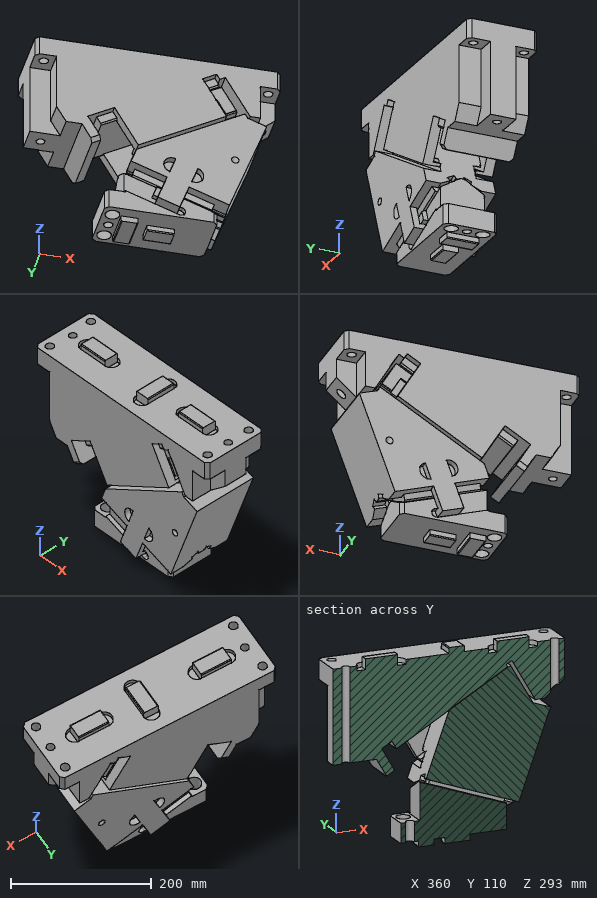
import cadquery as cq
import math


LENGTH = 360.0
HALF_WIDTH = 55.0
BASE_BOTTOM = -275.0
CORNER_CHAMFER = 5.8

SLIDE_ANGLE = 20.0
SLIDER_CORNER = (139.5, -197.5)
SLIDER_LEFT_HEIGHT = 32.5

RAIL_ANGLE = 30.0

PLATE_THICKNESS = 30.5
HOUSING_BOTTOM = -144.5
RIB_WIDTH = 40.5
BODY_LEFT = 30.5
BODY_RIGHT = 329.5
BODY_SLANT_TOP = -120.2
RIGHT_FOOT_BOTTOM = -86.8
RIGHT_RIB_BOTTOM = -60.5
NOTCH_WIDTH = 45.0
NOTCH_TOP = 70.0
HOOK_WIDTH = 15.0
HOOK_END = 29.5
SIDE_OPENING_START = 149.5
RAIL_SLOT_END = 182.0
SHELF = 5.0
OPENING_TOP = 60.5
STRIP_START = -27.5
STRIP_END = 172.8
STRIP_HALF_WIDTH = 45.0
STRIP_CHAMFER = 2.0

SCREW_HOLE = 13.5
DOWEL_HOLE = 12.2
HOLE_INSET = 15.5
LEFT_DOWEL_X = 20.5
SCREW_Y = 40.0
KEY_WIDTH = 25.0
KEY_LENGTH = 50.0
KEY_HEIGHT = 9.0
KEY_CHAMFER = 1.5
KEYWAY_LENGTH = 75.2
KEYWAY_DEPTH = 7.2
LONG_KEY_X = (75.5, 279.7)
CROSS_KEY_X = 192.2

SLIDER_LENGTH = 154.0
SLIDER_RIGHT_HEIGHT = 159.5
LEDGE = -5.8
NECK_HALF_WIDTH = 27.7
HEAD_HALF_WIDTH = 39.5
NECK_TOP = 10.0
HEAD_TOP = 55.8
HEAD_STEP_HEIGHT = 2.5
HEAD_STEP_DEPTH = 1.0
RAIL_END = 177.5
HEAD_RECESS_END = 160.0
HEAD_RECESS_TOP = 39.5
HEAD_RECESS_DEPTH = 2.0
GROOVE_HALF_WIDTH = 31.5
GROOVE_FLAT = 6.5
PAD_START = 9.7
PAD_END = 134.0
PAD_HALF_WIDTH = 41.8
PAD_FOOT_HALF_WIDTH = 37.5
PAD_FOOT = -7.5
KEY_SLOT_Y = 16.0
KEY_SLOT_WIDTH = 12.5
KEY_SLOT_DEPTH = 6.0
LEG_START = 56.5
LEG_WIDTH = 34.5
LEG_END = -40.5
LEG_INNER = 44.5
LEG_HOOK_TOP = -30.2
BORE_RADIUS = 13.0
BORE_T = 24.5
SIDE_HOLE = (134.0, 80.0)
SIDE_HOLE_RADIUS = 5.5
SIDE_HOLE_DEPTH = 5.5

DRIVER_LEFT = 105.0
DRIVER_STEP = 134.5
DRIVER_RIGHT = 270.0
DRIVER_HALF_WIDTH = 42.0
BODY_HALF_WIDTH = 34.5
FOOT_HEIGHT = 31.0
EAVE = -9.0
RIDGE_HALF_WIDTH = 3.5
ROOF_ANGLE = 30.0
FLANGE_START = 49.0
FLANGE_BOTTOM = -29.5
UNDERCUT_BOTTOM = -43.2
UNDERCUT_END = 101.5
DRIVER_HOLE_X = 120.0
DRIVER_SCREW_HOLE = 20.5
DRIVER_DOWEL_HOLE = 13.0
DRIVER_SCREW_Y = 25.0
DRIVER_CROSS_KEY_X = 145.0
DRIVER_LONG_KEY_X = 193.5
DRIVER_LONG_KEY_LENGTH = 40.0

BEYOND = 216.0
ROOF_SLOPE = math.tan(math.radians(ROOF_ANGLE))
LEG_STOP = LEG_START + LEG_WIDTH


def from_slide(s, t):
    """X, Z of a point given in the slide frame."""
    angle = math.radians(SLIDE_ANGLE)
    x = SLIDER_CORNER[0] + s * math.cos(angle) + t * math.sin(angle)
    z = SLIDER_CORNER[1] - s * math.sin(angle) + t * math.cos(angle)
    return x, z


RAIL_CORNER = from_slide(0, SLIDER_LEFT_HEIGHT)


def from_rail(u, w):
    """X, Z of a point given in the rail frame."""
    angle = math.radians(RAIL_ANGLE)
    x = RAIL_CORNER[0] + u * math.cos(angle) - w * math.sin(angle)
    z = RAIL_CORNER[1] + u * math.sin(angle) + w * math.cos(angle)
    return x, z


def rail_w_at_z(u, z):
    """w at which the line of constant u reaches height z."""
    angle = math.radians(RAIL_ANGLE)
    return (z - RAIL_CORNER[1] - u * math.sin(angle)) / math.cos(angle)


def prism(points, y_from, y_to):
    """Solid with an outline of X, Z points, between two Y values."""
    plane = cq.Workplane("XZ", origin=(0, y_from, 0))
    return plane.polyline(points).close().extrude(y_from - y_to)


def centred_prism(points, half_width):
    return prism(points, -half_width, half_width)


def rectangle(frame, a_from, a_to, b_from, b_to):
    """X, Z corners of a rectangle that lies square in a frame."""
    return [frame(a_from, b_from), frame(a_to, b_from), frame(a_to, b_to), frame(a_from, b_to)]


def along_slide(points, s_from, s_to):
    """Solid with a cross-section of Y, t points, between two s values."""
    x, z = from_slide(s_from, 0)
    angle = math.radians(SLIDE_ANGLE)
    plane = cq.Plane((x, 0, z), (0, 1, 0), (math.cos(angle), 0, -math.sin(angle)))
    return cq.Workplane(plane).polyline(points).close().extrude(s_to - s_from)


def along_rail(points, u_from, u_to):
    """Solid with a cross-section of Y, w points, between two u values."""
    x, z = from_rail(u_from, 0)
    angle = math.radians(RAIL_ANGLE)
    plane = cq.Plane((x, 0, z), (0, 1, 0), (math.cos(angle), 0, math.sin(angle)))
    return cq.Workplane(plane).polyline(points).close().extrude(u_to - u_from)


def cylinder_in_y(centre, radius, y_outer, y_inner):
    """Round solid along Y about an X, Z centre."""
    plane = cq.Workplane("XZ", origin=(centre[0], y_outer, centre[1]))
    return plane.circle(radius).extrude(y_outer - y_inner)


def mirrored(points):
    """Closed cross-section from the points of its +Y half, listed in order."""
    return points + [(-y, height) for y, height in reversed(points)]


def both_sides(solid):
    return solid.union(solid.mirror("XZ"))


def block(x_from, x_to, half_width, z_from, z_to):
    return centred_prism([(x_from, z_from), (x_to, z_from), (x_to, z_to), (x_from, z_to)], half_width)


def roof_height(y):
    """t of the driver's roof slope at a distance y from the plane of symmetry."""
    return EAVE + (BODY_HALF_WIDTH - y) * ROOF_SLOPE


def groove_height(y):
    """t of the slider's clearance groove at a distance y from the plane of symmetry."""
    return (GROOVE_HALF_WIDTH - y) * ROOF_SLOPE


def key(x, length, foot_z, tip_z, crosswise):
    """Key standing on foot_z, with its long edges broken at the tip."""
    tip_edges = ">Z" if tip_z > foot_z else "<Z"
    bar = cq.Workplane("XY").box(length, KEY_WIDTH, abs(tip_z - foot_z))
    bar = bar.faces(tip_edges).edges("|X").chamfer(KEY_CHAMFER)
    if crosswise:
        bar = bar.rotate((0, 0, 0), (0, 0, 1), 90)
    return bar.translate((x, 0, (foot_z + tip_z) / 2))


def keyway(x, crosswise):
    turn = 90 if crosswise else 0
    top = cq.Workplane("XY").center(x, 0)
    return top.slot2D(KEYWAY_LENGTH, KEY_WIDTH, turn).extrude(-KEYWAY_DEPTH)


def vertical_holes(points, diameter):
    return cq.Workplane("XY").pushPoints(points).circle(diameter / 2).extrude(2 * BASE_BOTTOM)


def housing_blank():
    """Mounting plate, full-width body with its hook, and the narrow ribs at both ends."""
    plate = block(0, LENGTH, HALF_WIDTH, -PLATE_THICKNESS, 0)
    plate = plate.edges("|Z").chamfer(CORNER_CHAMFER)
    hook_outer = -NOTCH_WIDTH - HOOK_WIDTH
    slant_height = BODY_SLANT_TOP - HOUSING_BOTTOM
    slant_x = BODY_LEFT + slant_height * math.tan(math.radians(RAIL_ANGLE))
    body = centred_prism([
        (BODY_LEFT, -PLATE_THICKNESS),
        (BODY_LEFT, BODY_SLANT_TOP),
        (slant_x, HOUSING_BOTTOM),
        from_rail(hook_outer, rail_w_at_z(hook_outer, HOUSING_BOTTOM)),
        from_rail(hook_outer, HOOK_END),
        from_rail(-NOTCH_WIDTH, HOOK_END),
        from_rail(-NOTCH_WIDTH, NOTCH_TOP),
        from_rail(0, NOTCH_TOP),
        from_rail(0, 0),
        from_rail(RAIL_SLOT_END, 0),
        from_rail(RAIL_SLOT_END, rail_w_at_z(RAIL_SLOT_END, RIGHT_FOOT_BOTTOM)),
        (BODY_RIGHT, RIGHT_FOOT_BOTTOM),
        (BODY_RIGHT, -PLATE_THICKNESS),
    ], HALF_WIDTH)
    left_rib = block(0, slant_x, RIB_WIDTH / 2, HOUSING_BOTTOM, -PLATE_THICKNESS)
    right_rib = centred_prism([
        (BODY_RIGHT, -PLATE_THICKNESS),
        (LENGTH, -PLATE_THICKNESS),
        (LENGTH, RIGHT_RIB_BOTTOM),
        (BODY_RIGHT, RIGHT_FOOT_BOTTOM),
    ], RIB_WIDTH / 2)
    hook_corner = along_rail([
        (HALF_WIDTH, HOOK_END),
        (HALF_WIDTH, HOOK_END + CORNER_CHAMFER),
        (HALF_WIDTH - CORNER_CHAMFER, HOOK_END),
    ], hook_outer, -NOTCH_WIDTH)
    return plate.union(body).union(left_rib).union(right_rib).cut(both_sides(hook_corner))


def rail_slot():
    """T-slot for the slider's rail, with the openings at the slider's upper end."""
    slot = along_rail(mirrored([
        (NECK_HALF_WIDTH, 0),
        (NECK_HALF_WIDTH, SHELF),
        (HEAD_HALF_WIDTH, SHELF),
        (HEAD_HALF_WIDTH, HEAD_TOP),
    ]), 0, RAIL_SLOT_END)
    side = rectangle(from_rail, SIDE_OPENING_START, STRIP_END, 0, NOTCH_TOP)
    side_opening = prism(side, HEAD_HALF_WIDTH, HALF_WIDTH)
    end = rectangle(from_rail, SIDE_OPENING_START, RAIL_SLOT_END, 0, OPENING_TOP)
    return slot.union(both_sides(side_opening)).union(centred_prism(end, HALF_WIDTH))


def wear_strip():
    return along_rail(mirrored([
        (STRIP_HALF_WIDTH - STRIP_CHAMFER, HEAD_TOP),
        (STRIP_HALF_WIDTH, HEAD_TOP + STRIP_CHAMFER),
        (STRIP_HALF_WIDTH, NOTCH_TOP),
    ]), STRIP_START, STRIP_END)


def make_housing():
    housing = housing_blank().cut(rail_slot()).union(wear_strip())
    right_x = LENGTH - HOLE_INSET
    screws = [(x, y) for x in (HOLE_INSET, right_x) for y in (-SCREW_Y, SCREW_Y)]
    housing = housing.cut(vertical_holes(screws, SCREW_HOLE))
    housing = housing.cut(vertical_holes([(LEFT_DOWEL_X, 0), (right_x, 0)], DOWEL_HOLE))
    for x in LONG_KEY_X:
        housing = housing.cut(keyway(x, False))
        housing = housing.union(key(x, KEY_LENGTH, -KEYWAY_DEPTH, KEY_HEIGHT, False))
    housing = housing.cut(keyway(CROSS_KEY_X, True))
    return housing.union(key(CROSS_KEY_X, KEY_LENGTH, -KEYWAY_DEPTH, KEY_HEIGHT, True))


def slider_body():
    """Full-width body below the ledges."""
    between = math.radians(90 - RAIL_ANGLE - SLIDE_ANGLE)
    ledge_left_t = SLIDER_LEFT_HEIGHT + LEDGE / math.sin(between)
    rise = SLIDER_RIGHT_HEIGHT - SLIDER_LEFT_HEIGHT
    rail_foot_w = (rise - RAIL_END * math.cos(between)) / math.sin(between)
    return centred_prism([
        from_slide(0, 0),
        from_slide(0, ledge_left_t),
        from_rail(RAIL_END, LEDGE),
        from_rail(RAIL_END, rail_foot_w),
        from_slide(SLIDER_LENGTH, SLIDER_RIGHT_HEIGHT),
        from_slide(SLIDER_LENGTH, 0),
    ], HALF_WIDTH)


def rail():
    """T-shaped rail whose lower end is flush with the slider's left face."""
    bar = along_rail(mirrored([
        (NECK_HALF_WIDTH, LEDGE),
        (NECK_HALF_WIDTH, NECK_TOP),
        (HEAD_HALF_WIDTH - HEAD_STEP_DEPTH, NECK_TOP),
        (HEAD_HALF_WIDTH - HEAD_STEP_DEPTH, NECK_TOP + HEAD_STEP_HEIGHT),
        (HEAD_HALF_WIDTH, NECK_TOP + HEAD_STEP_HEIGHT),
        (HEAD_HALF_WIDTH, HEAD_TOP),
    ]), -BEYOND, RAIL_END)
    left = rectangle(from_slide, -BEYOND, 0, -BEYOND, BEYOND)
    recess = rectangle(from_rail, SIDE_OPENING_START, HEAD_RECESS_END, NECK_TOP, HEAD_RECESS_TOP)
    recesses = both_sides(prism(recess, HEAD_HALF_WIDTH - HEAD_RECESS_DEPTH, HEAD_HALF_WIDTH))
    return bar.cut(centred_prism(left, HALF_WIDTH)).cut(recesses)


def clearance_groove():
    """Roof-shaped groove clear of the driver."""
    return along_slide(mirrored([
        (GROOVE_HALF_WIDTH, 0),
        (GROOVE_FLAT, groove_height(GROOVE_FLAT)),
    ]), 0, SLIDER_LENGTH)


def key_slots(s_from, s_to):
    """Slots in the groove's slopes that hold the pads."""
    angle = math.radians(ROOF_ANGLE)
    across_y, across_t = -KEY_SLOT_WIDTH * math.cos(angle), KEY_SLOT_WIDTH * math.sin(angle)
    deep_y, deep_t = KEY_SLOT_DEPTH * math.sin(angle), KEY_SLOT_DEPTH * math.cos(angle)
    y, t = KEY_SLOT_Y, groove_height(KEY_SLOT_Y)
    return both_sides(along_slide([
        (y, t),
        (y + deep_y, t + deep_t),
        (y + deep_y + across_y, t + deep_t + across_t),
        (y + across_y, t + across_t),
    ], s_from, s_to))


def pads():
    """Sloping pads that bear on the driver's roof."""
    pad = along_slide([
        (GROOVE_FLAT, roof_height(GROOVE_FLAT)),
        (BODY_HALF_WIDTH, EAVE),
        (PAD_FOOT_HALF_WIDTH, PAD_FOOT),
        (PAD_HALF_WIDTH, 0),
        (GROOVE_HALF_WIDTH, 0),
        (GROOVE_FLAT, groove_height(GROOVE_FLAT)),
    ], PAD_START, PAD_END)
    return both_sides(pad)


def legs():
    """Side straps whose hooked ends reach under the driver's flanges."""
    strap = prism(rectangle(from_slide, LEG_START, LEG_STOP, LEG_END, 0), LEG_INNER, HALF_WIDTH)
    hook = rectangle(from_slide, LEG_START, LEG_STOP, LEG_END, LEG_HOOK_TOP)
    return both_sides(strap.union(prism(hook, BODY_HALF_WIDTH, HALF_WIDTH)))


def half_bores():
    """Half-round pockets beside the straps."""
    strap = prism(rectangle(from_slide, LEG_START, LEG_STOP, 0, 2 * BORE_T), LEG_INNER, HALF_WIDTH)
    left = cylinder_in_y(from_slide(LEG_START, BORE_T), BORE_RADIUS, HALF_WIDTH, LEG_INNER)
    right = cylinder_in_y(from_slide(LEG_STOP, BORE_T), BORE_RADIUS, HALF_WIDTH, LEG_INNER)
    return both_sides(left.union(right).cut(strap))


def side_holes():
    """Conical centre marks in both sides."""
    x, z = from_slide(*SIDE_HOLE)
    cone = cq.Solid.makeCone(SIDE_HOLE_RADIUS, 0, SIDE_HOLE_DEPTH, (x, HALF_WIDTH, z), (0, -1, 0))
    return both_sides(cq.Workplane(cone))


def make_slider():
    slider = slider_body().union(rail())
    slider = slider.cut(clearance_groove()).cut(half_bores()).cut(side_holes())
    slider = slider.cut(key_slots(0, PAD_START)).cut(key_slots(PAD_END, SLIDER_LENGTH))
    return slider.union(pads()).union(legs())


def driver_blank():
    """Foot and roofed body."""
    roofed = along_slide(mirrored([
        (DRIVER_HALF_WIDTH, -BEYOND),
        (DRIVER_HALF_WIDTH, roof_height(DRIVER_HALF_WIDTH)),
        (RIDGE_HALF_WIDTH, roof_height(RIDGE_HALF_WIDTH)),
    ]), -BEYOND, BEYOND)
    envelope = block(DRIVER_STEP, DRIVER_RIGHT, DRIVER_HALF_WIDTH, BASE_BOTTOM, 0)
    envelope = envelope.edges("|Z and >X").chamfer(CORNER_CHAMFER)
    foot = block(DRIVER_LEFT, DRIVER_STEP, DRIVER_HALF_WIDTH, BASE_BOTTOM, BASE_BOTTOM + FOOT_HEIGHT)
    foot = foot.edges("|Z and <X").chamfer(CORNER_CHAMFER)
    return envelope.intersect(roofed).union(foot)


def leg_clearance():
    """Side cuts that leave a flange for the slider's legs to hook under."""
    open_side = rectangle(from_slide, -BEYOND, FLANGE_START, UNDERCUT_BOTTOM, BEYOND)
    radius = (FLANGE_BOTTOM - UNDERCUT_BOTTOM) / 2
    round_s = UNDERCUT_END - radius
    undercut = rectangle(from_slide, -BEYOND, round_s, UNDERCUT_BOTTOM, FLANGE_BOTTOM)
    centre = from_slide(round_s, UNDERCUT_BOTTOM + radius)
    end = cylinder_in_y(centre, radius, DRIVER_HALF_WIDTH, BODY_HALF_WIDTH)
    cut = prism(open_side, BODY_HALF_WIDTH, DRIVER_HALF_WIDTH)
    cut = cut.union(prism(undercut, BODY_HALF_WIDTH, DRIVER_HALF_WIDTH)).union(end)
    above_foot = block(DRIVER_STEP, DRIVER_RIGHT, DRIVER_HALF_WIDTH, BASE_BOTTOM, 0)
    return both_sides(cut).intersect(above_foot)


def make_driver():
    driver = driver_blank().cut(leg_clearance())
    screws = [(DRIVER_HOLE_X, -DRIVER_SCREW_Y), (DRIVER_HOLE_X, DRIVER_SCREW_Y)]
    driver = driver.cut(vertical_holes(screws, DRIVER_SCREW_HOLE))
    driver = driver.cut(vertical_holes([(DRIVER_HOLE_X, 0)], DRIVER_DOWEL_HOLE))
    key_tip = BASE_BOTTOM - KEY_HEIGHT
    driver = driver.union(key(DRIVER_CROSS_KEY_X, KEY_LENGTH, BASE_BOTTOM, key_tip, True))
    return driver.union(key(DRIVER_LONG_KEY_X, DRIVER_LONG_KEY_LENGTH, BASE_BOTTOM, key_tip, False))


housing = make_housing()
slider = make_slider()
driver = make_driver()
result = cq.Compound.makeCompound([housing.val(), slider.val(), driver.val()])